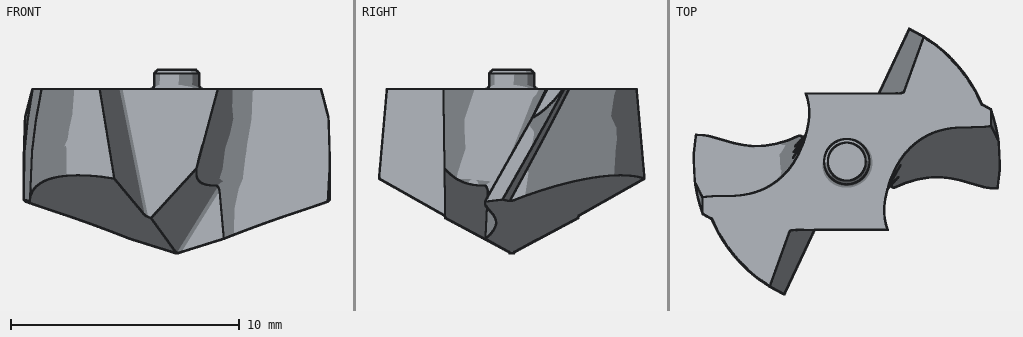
import cadquery as cq
import math

BIG = 26.8

margin_radius = 6.7
body_radius = 6.42
point_depth = 7.2
twist_rate = 4.851
lip_angle = 13.8
margin_end_angle = 20.0
body_start_angle = 23.0
heel_angle = -62.0
flute_points = [
    (1.8, -2.99), (1.65, -1.94), (1.81, -1.13), (2.36, 0.11),
    (2.92, 0.74), (3.59, 1.18), (5.0, 1.5), (5.96, 1.51),
]

bevel_half_width = 6.31
bevel_slope = 0.26

notch_wall_y = -2.99
notch_corner_x = -2.48
notch_lean_y = 0.36
notch_lean_z = 0.2
notch_wall_lean = 0.014
notch_fillet = 0.16

lip_slope = 0.358
primary_face = (lip_slope, 0.08)
secondary_face = (-lip_slope, -0.396)
gash_floor = (1.077, -0.95)
gash_wall_lean = 0.56
gash_fillet = 0.27

stud_radius = 0.99
stud_height = 0.85
stud_chamfer = 0.16
stud_root_fillet = 0.16

tip = (0, 0, -point_depth)


def polar(radius, angle):
    return (radius * math.cos(math.radians(angle)), radius * math.sin(math.radians(angle)))


def opposite(point):
    return (-point[0], -point[1])


def cut_both_sides(body, cutter):
    return body.cut(cutter).cut(cutter.rotate((0, 0, 0), (0, 0, 1), 180))


def half_space(normal):
    """Large block bounded by a plane through the tip, lying on the side of the normal."""
    return cq.Workplane(cq.Plane(origin=tip, normal=normal)).rect(BIG, BIG).extrude(BIG)


def below(slopes):
    return half_space((slopes[0], slopes[1], -1))


def add_half_outline(outline, turn):
    """Flute, margin, margin step and body arc, starting at the flute heel."""
    path = [turn(p) for p in flute_points + [polar(margin_radius, lip_angle)]]
    margin_middle = polar(margin_radius, (lip_angle + margin_end_angle) / 2)
    margin_end = polar(margin_radius, margin_end_angle)
    body_end_angle = heel_angle + 180
    body_middle = (body_start_angle + body_end_angle) / 2
    return (
        outline.lineTo(*path[0])
        .spline(path[1:], includeCurrent=True)
        .threePointArc(turn(margin_middle), turn(margin_end))
        .lineTo(*turn(polar(body_radius, body_start_angle)))
        .threePointArc(turn(polar(body_radius, body_middle)), turn(polar(body_radius, body_end_angle)))
    )


def make_body():
    outline = cq.Workplane("XY", origin=tip).transformed(rotate=(0, 0, -twist_rate * point_depth))
    outline = outline.moveTo(*polar(body_radius, heel_angle))
    outline = add_half_outline(outline, tuple)
    outline = add_half_outline(outline, opposite)
    return outline.close().twistExtrude(point_depth, twist_rate * point_depth)


def make_bevel_envelope():
    foot = bevel_half_width + bevel_slope * BIG
    profile = [(-bevel_half_width, 0), (bevel_half_width, 0), (foot, -BIG), (-foot, -BIG)]
    return cq.Workplane("XZ").polyline(profile).close().extrude(BIG, both=True)


def make_heel_notch():
    """Skewed prism with a steep wall and a leaning flank, rounded where they meet."""
    def section(z):
        corner_x = notch_corner_x - notch_lean_z * z
        wall_y = notch_wall_y - notch_wall_lean * z
        far_y = wall_y - BIG
        flank_x = corner_x - notch_lean_y * BIG
        points = [(corner_x, wall_y), (BIG, wall_y), (BIG, far_y), (flank_x, far_y)]
        return cq.Wire.makePolygon([cq.Vector(x, y, z) for x, y in points], close=True)

    top = BIG / 4
    prism = cq.Workplane(cq.Solid.makeLoft([section(top), section(-BIG)], True))
    middle_depth = (BIG - top) / 2
    inner_edge = cq.NearestToPointSelector((
        notch_corner_x + notch_lean_z * middle_depth,
        notch_wall_y + notch_wall_lean * middle_depth,
        -middle_depth,
    ))
    return prism.edges(inner_edge).fillet(notch_fillet)


def make_point_relief():
    front_half = half_space((0, -1, 0))
    return below(primary_face).union(below(secondary_face)).intersect(front_half)


def make_gash():
    """Trench between a sloping floor and an upright wall that thins the web at the tip."""
    trench = below(gash_floor).intersect(half_space((-gash_wall_lean, -1, 0)))
    a, b = gash_floor
    root = (1, -gash_wall_lean, a - b * gash_wall_lean)
    return trench.edges(cq.ParallelDirSelector(cq.Vector(*root))).fillet(gash_fillet)


def make_stud():
    embed = 0.13
    root_radius = stud_radius + stud_root_fillet
    mid = stud_root_fillet * (1 - math.sqrt(0.5))
    return (
        cq.Workplane("XZ")
        .moveTo(0, -embed)
        .lineTo(root_radius, -embed)
        .lineTo(root_radius, 0)
        .threePointArc((stud_radius + mid, mid), (stud_radius, stud_root_fillet))
        .lineTo(stud_radius, stud_height - stud_chamfer)
        .lineTo(stud_radius - stud_chamfer, stud_height)
        .lineTo(0, stud_height)
        .close()
        .revolve(360, (0, 0, 0), (0, 1, 0))
    )


head = make_body().intersect(make_bevel_envelope())
head = cut_both_sides(head, make_heel_notch())
head = cut_both_sides(head, make_point_relief())
head = cut_both_sides(head, make_gash())
result = head.union(make_stud())